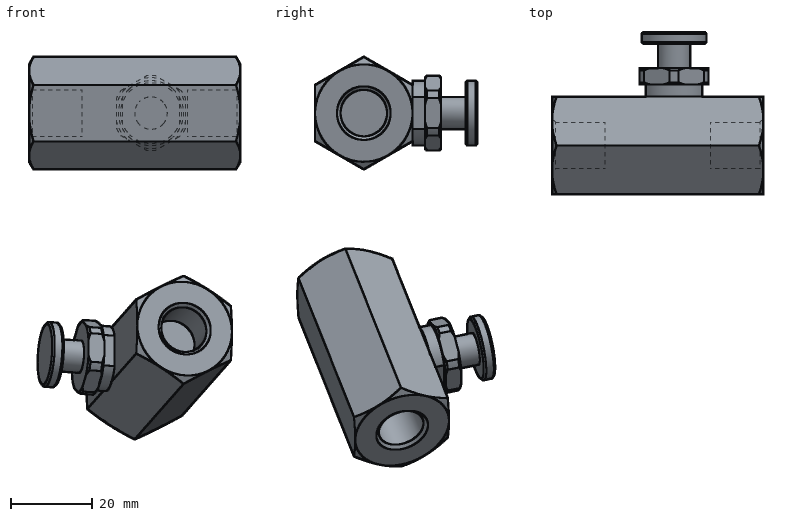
import cadquery as cq
import math

body_length = 52.0
body_across_flats = 24.0
end_face_diameter = 23.95
end_chamfer_angle = 30.0

port_diameter = 11.45
port_mouth_diameter = 13.2
port_depth = 13.0

button_axis_x = 4.0
collar_diameter = 16.0
collar_across_flats = 14.0
collar_height = 3.0
nut_across_flats = 17.0
nut_corner_diameter = 18.5
nut_height = 4.0
nut_chamfer = 0.5
stem_diameter = 8.0
stem_height = 6.0
button_diameter = 16.0
button_height = 2.95
button_chamfer = 0.5

collar_start = body_across_flats / 2
nut_start = collar_start + collar_height
stem_start = nut_start + nut_height
button_start = stem_start + stem_height


def corner_diameter(across_flats):
    """Across-corners size of a regular hexagon."""
    return across_flats / math.cos(math.radians(30))


def plane_at_y(y):
    """Plane facing +Y, centred on the button axis."""
    return cq.Workplane(cq.Plane(origin=(button_axis_x, y, 0), xDir=(1, 0, 0), normal=(0, 1, 0)))


def cylinder_at_y(y, diameter, height):
    return plane_at_y(y).circle(diameter / 2).extrude(height)


def make_body():
    """Hexagonal bar with corners up and down, turned conically at both ends."""
    corners = corner_diameter(body_across_flats)
    bar = (
        cq.Workplane("YZ")
        .polygon(6, corners)
        .extrude(body_length / 2, both=True)
        .rotate((0, 0, 0), (1, 0, 0), 90)
    )
    chamfer_depth = (corners - end_face_diameter) / 2
    chamfer_length = chamfer_depth * math.tan(math.radians(end_chamfer_angle))
    turned = (
        cq.Workplane("YZ")
        .circle(corners / 2)
        .extrude(body_length / 2, both=True)
        .faces("<X or >X")
        .chamfer(chamfer_length, chamfer_depth)
    )
    return bar.intersect(turned)


def make_port():
    """Cutter for the port in the -X end, with a 45 degree countersunk mouth."""
    radius = port_diameter / 2
    mouth_radius = port_mouth_diameter / 2
    mouth_depth = mouth_radius - radius
    end = -body_length / 2
    return (
        cq.Workplane("XY")
        .moveTo(end, 0)
        .lineTo(end, mouth_radius)
        .lineTo(end + mouth_depth, radius)
        .lineTo(end + port_depth, radius)
        .lineTo(end + port_depth, 0)
        .close()
        .revolve(360, (0, 0, 0), (1, 0, 0))
    )


def make_collar():
    """Round collar with two flats facing -X and +X."""
    flats = plane_at_y(collar_start).rect(collar_across_flats, collar_diameter).extrude(collar_height)
    return cylinder_at_y(collar_start, collar_diameter, collar_height).intersect(flats)


def make_nut():
    """Hexagonal nut with flats facing -X and +X, and turned, chamfered corners."""
    hexagon = (
        plane_at_y(nut_start)
        .transformed(rotate=(0, 0, 30))
        .polygon(6, corner_diameter(nut_across_flats))
        .extrude(nut_height)
    )
    turned = cylinder_at_y(nut_start, nut_corner_diameter, nut_height).faces("<Y or >Y").chamfer(nut_chamfer)
    return hexagon.intersect(turned)


def make_button():
    """Stem with a chamfered round button on its end."""
    stem = cylinder_at_y(stem_start, stem_diameter, stem_height)
    button = cylinder_at_y(button_start, button_diameter, button_height)
    return stem.union(button.faces("<Y or >Y").chamfer(button_chamfer))


port = make_port()
result = (
    make_body()
    .cut(port)
    .cut(port.mirror("YZ"))
    .union(make_collar())
    .union(make_nut())
    .union(make_button())
)